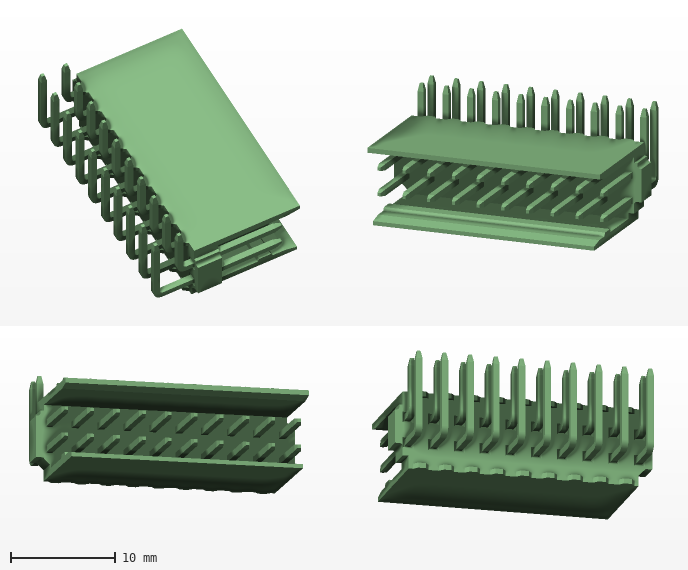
import cadquery as cq
import math


pitch = 2.55
pins_per_row = 10
pin_size = 0.64
tip_size = 0.33
tip_length = 0.75
bend_inner_radius = 0.33
pin_back_y = 9.65
pin_top_z = 10.55
lower_row_z = 2.55
pocket_mouth = 1.07
pocket_depth = 0.215

overall_width = pins_per_row * pitch
housing_height = 7.65
base_depth = 2.6
wall_end_y = 11.43
overall_depth = 15.67

upper_half_width = 11.95
lower_half_width = 11.35
wing_half_width = overall_width / 2
shoulder_half_width = 12.27
shoulder_top_z = 6.32
shoulder_radius = 0.3
wing_top_z = 5.8
left_wing_bottom_z = 2.46
left_wing_radius = 0.28
left_ledge_z = 1.27
right_wing_bottom_z = 1.75
right_chamfer = 0.69

upper_wall = 0.75
upper_lead_in = 1.42
upper_wall_tip = 0.48
lower_wall = 0.69
lower_lead_in = 1.32
lower_wall_tip = 0.4
ridge_near_y = 7.16
ridge_far_y = 8.8
ridge_height = 0.33
ridge_slope_run = 0.18

tooth_base = 1.52
tooth_crest = 0.75
tooth_length = 0.5
tooth_height = 0.5

lower_row_leg_y = wall_end_y - overall_depth + pin_size / 2
column_xs = [(i - (pins_per_row - 1) / 2) * pitch for i in range(pins_per_row)]
tooth_xs = [x + pitch / 2 for x in column_xs[:-1]]


def arc_midpoint(center_u, center_v, radius, sign_u, sign_v):
    """Midpoint of a quarter arc, offset from its centre along the given diagonal."""
    offset = radius * math.sqrt(0.5)
    return (center_u + sign_u * offset, center_v + sign_v * offset)


def base_block():
    """Stepped block that carries the pins, with a different lower corner at each end."""
    shoulder_center_x = shoulder_half_width + shoulder_radius
    shoulder_center_z = wing_top_z + shoulder_radius
    fillet_center_x = upper_half_width + left_wing_radius
    fillet_center_z = left_wing_bottom_z - left_wing_radius
    outline = (
        cq.Workplane("XZ")
        .moveTo(-lower_half_width, 0)
        .lineTo(lower_half_width, 0)
        .lineTo(lower_half_width, right_wing_bottom_z - right_chamfer)
        .lineTo(lower_half_width + right_chamfer, right_wing_bottom_z)
        .lineTo(wing_half_width, right_wing_bottom_z)
        .lineTo(wing_half_width, wing_top_z)
        .lineTo(shoulder_center_x, wing_top_z)
        .threePointArc(
            arc_midpoint(shoulder_center_x, shoulder_center_z, shoulder_radius, -1, -1),
            (shoulder_half_width, shoulder_center_z),
        )
        .lineTo(shoulder_half_width, shoulder_top_z)
        .lineTo(upper_half_width, shoulder_top_z)
        .lineTo(upper_half_width, housing_height)
        .lineTo(-upper_half_width, housing_height)
        .lineTo(-upper_half_width, shoulder_top_z)
        .lineTo(-shoulder_half_width, shoulder_top_z)
        .lineTo(-shoulder_half_width, shoulder_center_z)
        .threePointArc(
            arc_midpoint(-shoulder_center_x, shoulder_center_z, shoulder_radius, 1, -1),
            (-shoulder_center_x, wing_top_z),
        )
        .lineTo(-wing_half_width, wing_top_z)
        .lineTo(-wing_half_width, left_wing_bottom_z)
        .lineTo(-fillet_center_x, left_wing_bottom_z)
        .threePointArc(
            arc_midpoint(-fillet_center_x, fillet_center_z, left_wing_radius, 1, 1),
            (-upper_half_width, fillet_center_z),
        )
        .lineTo(-upper_half_width, left_ledge_z)
        .lineTo(-lower_half_width, left_ledge_z)
        .close()
    )
    return outline.extrude(-base_depth)


def extrude_along_x(profile, half_width):
    """Extrude a closed (Y, Z) profile symmetrically about X = 0."""
    return cq.Workplane("YZ").polyline(profile).close().extrude(half_width, both=True)


def upper_mating_wall():
    profile = [
        (0, housing_height),
        (wall_end_y, housing_height),
        (wall_end_y, housing_height - upper_wall_tip),
        (wall_end_y - upper_lead_in, housing_height - upper_wall),
        (0, housing_height - upper_wall),
    ]
    return extrude_along_x(profile, upper_half_width)


def lower_mating_wall():
    """Lower wall with a lead-in slope and a latching ridge across its full width."""
    ridge_top_z = lower_wall + ridge_height
    profile = [
        (0, 0),
        (wall_end_y, 0),
        (wall_end_y, lower_wall_tip),
        (wall_end_y - lower_lead_in, lower_wall),
        (ridge_far_y, lower_wall),
        (ridge_far_y - ridge_slope_run, ridge_top_z),
        (ridge_near_y + ridge_slope_run, ridge_top_z),
        (ridge_near_y, lower_wall),
        (0, lower_wall),
    ]
    return extrude_along_x(profile, lower_half_width)


def standoff_teeth(bottom_z):
    """Row of tapered teeth on the terminal face, midway between the pin columns."""
    teeth = cq.Workplane("XY").workplane(offset=bottom_z)
    for x in tooth_xs:
        teeth = teeth.polyline([
            (x - tooth_base / 2, 0),
            (x - tooth_crest / 2, -tooth_length),
            (x + tooth_crest / 2, -tooth_length),
            (x + tooth_base / 2, 0),
        ]).close()
    return teeth.extrude(tooth_height)


def pin_pocket(row_z):
    """Pyramidal recess at X = 0 narrowing from the terminal face down to the pin."""
    return (
        cq.Workplane("XZ", origin=(0, 0, row_z))
        .rect(pocket_mouth, pocket_mouth)
        .workplane(offset=-pocket_depth)
        .rect(pin_size, pin_size)
        .loft(ruled=True)
    )


def pin_tip(plane):
    """Tapered square tip growing from the given plane."""
    return (
        cq.Workplane(plane)
        .rect(pin_size, pin_size)
        .workplane(offset=tip_length)
        .rect(tip_size, tip_size)
        .loft(ruled=True)
    )


def bent_pin(row_z, leg_y):
    """Square pin at X = 0, running along Y, bent up into a vertical leg, tapered at both ends."""
    half = pin_size / 2
    bend_radius = bend_inner_radius + half
    back_shoulder_y = pin_back_y - tip_length
    top_shoulder_z = pin_top_z - tip_length
    bend_mid = arc_midpoint(leg_y + bend_radius, row_z + bend_radius, bend_radius, -1, -1)
    path = (
        cq.Workplane("YZ")
        .moveTo(back_shoulder_y, row_z)
        .lineTo(leg_y + bend_radius, row_z)
        .threePointArc(bend_mid, (leg_y, row_z + bend_radius))
        .lineTo(leg_y, top_shoulder_z)
    )
    bar = cq.Workplane("XZ", origin=(0, back_shoulder_y, row_z)).rect(pin_size, pin_size).sweep(path)
    back_plane = cq.Plane(origin=(0, back_shoulder_y, row_z), xDir=(1, 0, 0), normal=(0, 1, 0))
    top_plane = cq.Plane(origin=(0, leg_y, top_shoulder_z), xDir=(1, 0, 0), normal=(0, 0, 1))
    return bar.union(pin_tip(back_plane)).union(pin_tip(top_plane))


housing = base_block().union(upper_mating_wall()).union(lower_mating_wall())
for teeth_bottom_z in (0, housing_height - tooth_height):
    housing = housing.union(standoff_teeth(teeth_bottom_z))

pin_rows = [
    (lower_row_z, lower_row_leg_y),
    (lower_row_z + pitch, lower_row_leg_y + pitch),
]

pockets = cq.Workplane("XY")
pins = cq.Workplane("XY")
for pin_row_z, pin_leg_y in pin_rows:
    pocket = pin_pocket(pin_row_z).val()
    pin = bent_pin(pin_row_z, pin_leg_y).val()
    for column_x in column_xs:
        pockets = pockets.add(pocket.moved(cq.Location((column_x, 0, 0))))
        pins = pins.add(pin.moved(cq.Location((column_x, 0, 0))))

result = housing.cut(pockets.combine()).union(pins.combine())